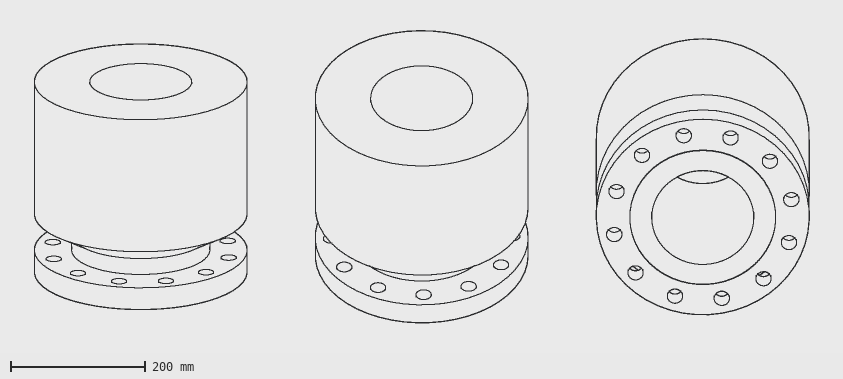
import cadquery as cq

outer_diameter = 317.5
total_height = 304.7
bore_diameter = 152.0

flange_thickness = 35.0
face_diameter = 217.5
face_height = 2.0

neck_diameter = 206.0
cone_bottom = 62.2
cone_top = 94.3

bolt_count = 12
bolt_circle_diameter = 269.8
bolt_hole_diameter = 23.0

outer_radius = outer_diameter / 2
bore_radius = bore_diameter / 2
face_radius = face_diameter / 2
neck_radius = neck_diameter / 2
flange_top = face_height + flange_thickness


def make_turned_body():
    """Revolve the half section, from the raised face up to the top of the body."""
    section = [
        (bore_radius, 0),
        (face_radius, 0),
        (face_radius, face_height),
        (outer_radius, face_height),
        (outer_radius, flange_top),
        (neck_radius, flange_top),
        (neck_radius, cone_bottom),
        (outer_radius, cone_top),
        (outer_radius, total_height),
        (bore_radius, total_height),
    ]
    return cq.Workplane("XZ").polyline(section).close().revolve(360, (0, 0), (0, 1))


def make_bolt_holes():
    """Cylinders through the flange only, evenly spaced and starting on the X axis."""
    return (
        cq.Workplane("XY")
        .workplane(offset=face_height)
        .polarArray(bolt_circle_diameter / 2, 0, 360, bolt_count)
        .circle(bolt_hole_diameter / 2)
        .extrude(flange_thickness)
    )


result = make_turned_body().cut(make_bolt_holes())